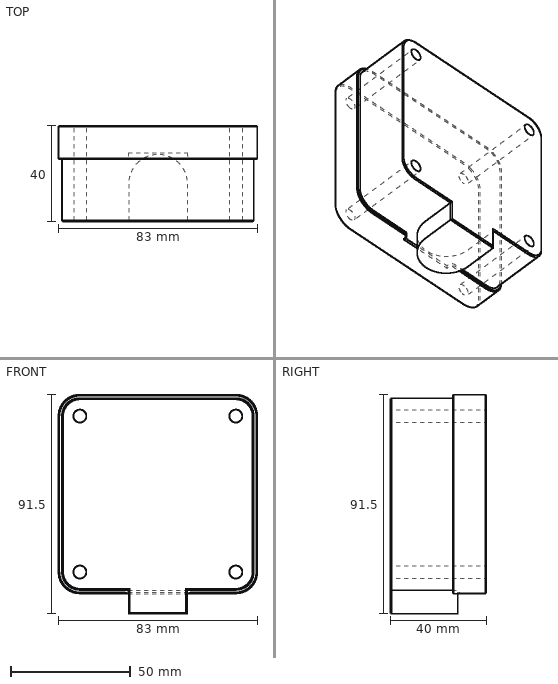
import cadquery as cq
import math

total_height = 91.5
total_depth = 40.0
cover_width = 83.0
cover_depth = 14.0
overhang = 1.5
cover_chamfer = 0.5
housing_chamfer = 0.55

cover_corner_radius = 9.0
hole_diameter = 5.3

outlet_width = 24.4
outlet_length = 28.2
slot_width = 24.7
slot_depth = 2.7
slot_lip_radius = 1.7

body_width = cover_width - 2 * overhang
body_corner_radius = cover_corner_radius - overhang
hole_spacing = cover_width - 2 * cover_corner_radius
front_y = -total_depth / 2
back_y = total_depth / 2
cover_front_y = back_y - cover_depth
bottom_z = -total_height / 2
cover_center_z = total_height / 2 - cover_width / 2
body_bottom_z = cover_center_z - body_width / 2
outlet_radius = outlet_width / 2
outlet_axis_y = front_y + outlet_length - outlet_radius


def rounded_block(width, corner_radius, y_start, y_end):
    """Square block along Y with rounded long edges."""
    return (
        cq.Workplane("XY")
        .box(width, y_end - y_start, width)
        .edges("|Y")
        .fillet(corner_radius)
        .translate((0, (y_start + y_end) / 2, cover_center_z))
    )


def make_cover():
    """Cover with chamfered rims and a round-lipped slot that clears the outlet."""
    cover = rounded_block(cover_width, cover_corner_radius, cover_front_y, back_y)
    cover = cover.faces("<Y or >Y").chamfer(cover_chamfer)
    lip_offset = slot_lip_radius * math.sqrt(0.5)
    lip_end_x = slot_width / 2 + slot_lip_radius
    lip_mid_x = lip_end_x - lip_offset
    lip_end_y = cover_front_y + slot_lip_radius
    lip_mid_y = lip_end_y - lip_offset
    slot = (
        cq.Workplane("XY", origin=(0, 0, bottom_z))
        .moveTo(-lip_end_x, cover_front_y)
        .threePointArc((-lip_mid_x, lip_mid_y), (-slot_width / 2, lip_end_y))
        .lineTo(-slot_width / 2, cover_front_y + slot_depth)
        .lineTo(slot_width / 2, cover_front_y + slot_depth)
        .lineTo(slot_width / 2, lip_end_y)
        .threePointArc((lip_mid_x, lip_mid_y), (lip_end_x, cover_front_y))
        .close()
        .extrude(body_bottom_z - bottom_z)
    )
    return cover.cut(slot)


def make_outlet():
    """Block with a square front and a half-round back, reaching up into the body."""
    return (
        cq.Workplane("XY", origin=(0, 0, bottom_z))
        .moveTo(-outlet_radius, front_y)
        .lineTo(outlet_radius, front_y)
        .lineTo(outlet_radius, outlet_axis_y)
        .threePointArc((0, outlet_axis_y + outlet_radius), (-outlet_radius, outlet_axis_y))
        .close()
        .extrude(cover_center_z - bottom_z)
    )


def make_holes():
    """Four through holes on the corner axes."""
    return (
        cq.Workplane("XZ", origin=(0, back_y, cover_center_z))
        .rect(hole_spacing, hole_spacing, forConstruction=True)
        .vertices()
        .circle(hole_diameter / 2)
        .extrude(total_depth)
    )


body = rounded_block(body_width, body_corner_radius, front_y, cover_front_y)
housing = body.union(make_outlet()).faces("<Y").chamfer(housing_chamfer)

result = housing.union(make_cover()).cut(make_holes())